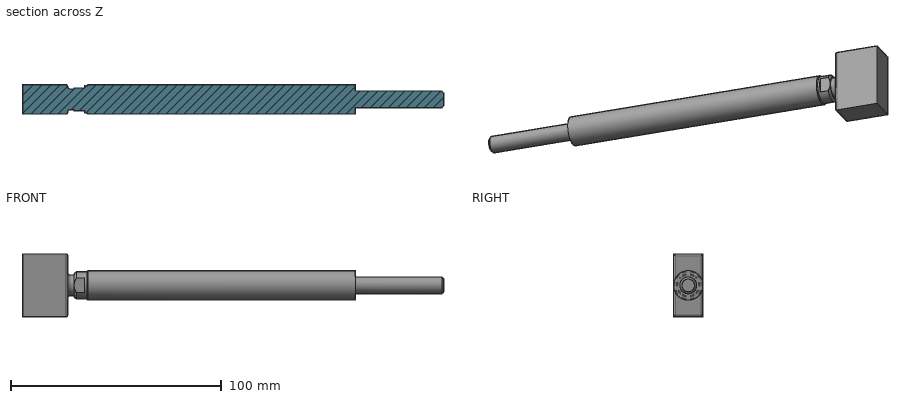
import cadquery as cq

total_length = 200.0

head_length = 21.5
head_width = 14.0
head_height = 30.0
head_edge_radius = 1.0

neck_radius = 5.0
neck_length = 3.0
neck_root_radius = 1.0

collar_radius = 6.5
collar_length = 6.0
collar_chamfer = 1.0
flat_spacing = 11.0
flat_length = 5.0

barrel_radius = 7.0
barrel_chamfer = barrel_radius - collar_radius

rod_radius = 4.0
rod_length = 42.0
rod_tip_chamfer = 1.0

neck_end = head_length + neck_length
collar_end = neck_end + collar_length
barrel_end = total_length - rod_length


def make_head():
    """Rectangular block with the edges around its shaft-side face rounded."""
    block = cq.Workplane("XY").box(
        head_length, head_width, head_height, centered=(False, True, True)
    )
    return block.faces(">X").edges().fillet(head_edge_radius)


def make_shaft():
    """Neck, collar, barrel and rod turned as one body about the X axis."""
    profile = (
        cq.Workplane("XZ")
        .moveTo(head_length, 0)
        .lineTo(head_length, neck_radius + neck_root_radius)
        .radiusArc((head_length + neck_root_radius, neck_radius), -neck_root_radius)
        .lineTo(neck_end, neck_radius)
        .lineTo(neck_end, collar_radius - collar_chamfer)
        .lineTo(neck_end + collar_chamfer, collar_radius)
        .lineTo(collar_end, collar_radius)
        .lineTo(collar_end + barrel_chamfer, barrel_radius)
        .lineTo(barrel_end, barrel_radius)
        .lineTo(barrel_end, rod_radius)
        .lineTo(total_length - rod_tip_chamfer, rod_radius)
        .lineTo(total_length, rod_radius - rod_tip_chamfer)
        .lineTo(total_length, 0)
        .close()
    )
    return profile.revolve(360, (0, 0, 0), (1, 0, 0))


def cut_wrench_flats(shaft):
    """Cut two parallel flats into the collar, on its -Y and +Y sides."""
    flat_depth = collar_radius - flat_spacing / 2
    flat_offset = (flat_spacing + flat_depth) / 2
    for side in (-1, 1):
        cutter = cq.Workplane("XY", origin=(neck_end, side * flat_offset, 0)).box(
            flat_length, flat_depth, 2 * collar_radius, centered=(False, True, True)
        )
        shaft = shaft.cut(cutter)
    return shaft


result = make_head().union(cut_wrench_flats(make_shaft()))